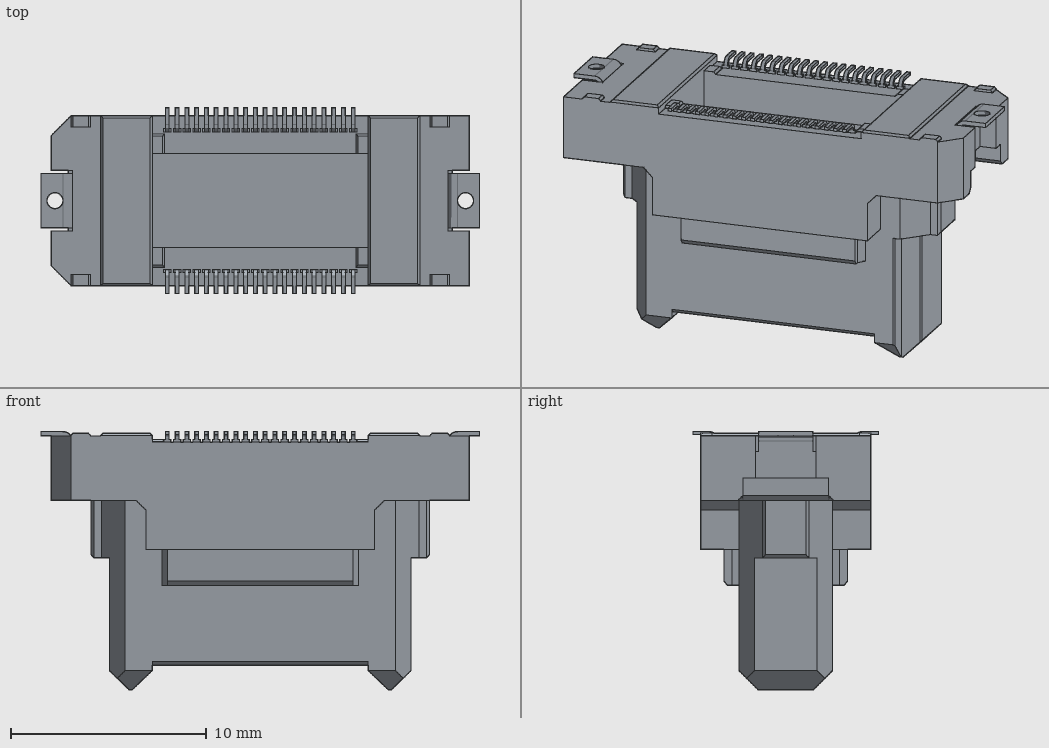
import cadquery as cq
import math


housing_half_x = 10.68
housing_half_y = 4.35
housing_top = -0.22
housing_bottom = -3.52
waist_half_x = 5.85
waist_bottom = -6.03
waist_chamfer = 0.5
polarity_chamfer = 1.03

shelf_half_x = 5.5
shelf_z = -0.54
pad_height = 0.13
pad_chamfer = 0.11
pad_outer_x = 8.15
block_inner_x = 4.88
block_outer_y = 3.4

standoff_inner_x = 8.67
standoff_outer_x = 9.68
standoff_inner_y = 3.76

blade_half_y = 2.4
blade_half_x = 7.7
blade_corner_chamfer = 0.8
blade_middle_bottom = -11.95
blade_edge_chamfer = 0.2
blade_bottom = -13.2
tip_height = 0.99
tip_flat_outer_x = 6.7
tip_flat_inner_x = 6.55
cavity_floor = -5.1

notch_x = -6.6
notch_y = 1.4
notch_chamfer = 0.1

rib_half_x = 8.65
rib_half_y = 1.19
rib_bottom = -6.45
rib_chamfer = 0.15

rail_half_x = 5.02
rail_face_half_x = 4.73
rail_half_y = 3.15
rail_shoulder_half_y = 2.75
rail_bottom = -7.86
rail_edge_rise = 0.22
rail_edge_inset = 0.18

tab_tip_x = 11.2
tab_half_y = 1.4
tab_thickness = 0.22
tab_bend_x = 10.08
tab_bend_radius = 0.5
tab_leg_bottom = -1.03
tab_hole_x = 10.48
tab_hole_diameter = 0.8
slot_half_y = 1.55
undercut_x = 9.32
undercut_half_y = 2.2
undercut_top = -2.37
undercut_flare = 0.25

contacts_per_row = 20
contact_row_span = 9.5
contact_width = 0.2
contact_thickness = 0.15
contact_tip_y = 4.75
contact_inner_y = 3.52
contact_bend_radius = 0.38
contact_base_width = 0.38
contact_base_top = -0.4

contact_pitch = contact_row_span / (contacts_per_row - 1)
tab_back_x = tab_bend_x - tab_bend_radius
slot_back_x = tab_back_x + tab_thickness

diagonal = math.sqrt(0.5)


def box(x0, x1, y0, y1, z0, z1):
    """Box between two opposite corners."""
    return cq.Workplane("XY").box(x1 - x0, y1 - y0, z1 - z0, centered=False).translate((x0, y0, z0))


def on_both_ends(solid):
    """The solid together with its mirror image across the X = 0 plane."""
    return solid.union(solid.mirror("YZ"))


def on_both_sides(solid):
    """The solid together with its mirror image across the Y = 0 plane."""
    return solid.union(solid.mirror("XZ"))


def make_housing():
    """Wide flange with a narrower waist below, two corners cut off for polarity."""
    right_outline = [
        (shelf_half_x, shelf_z),
        (shelf_half_x, housing_top),
        (housing_half_x, housing_top),
        (housing_half_x, housing_bottom),
        (waist_half_x + waist_chamfer, housing_bottom),
        (waist_half_x, housing_bottom - waist_chamfer),
        (waist_half_x, waist_bottom),
    ]
    left_outline = [(-x, z) for x, z in reversed(right_outline)]
    housing = cq.Workplane("XZ").polyline(right_outline + left_outline).close()
    housing = housing.extrude(housing_half_y, both=True)
    return housing.edges("|Z and <X").chamfer(polarity_chamfer)


def make_raised_pads():
    """Two wide pads beside the shelf, four corner blocks on it and four small standoffs."""
    pad_top = housing_top + pad_height
    pad = box(shelf_half_x, pad_outer_x, -housing_half_y, housing_half_y, housing_top, pad_top)
    pad = pad.faces(">Z").edges().chamfer(pad_chamfer)

    block = box(block_inner_x, shelf_half_x, blade_half_y, block_outer_y, shelf_z, shelf_z + pad_height)
    block = block.edges(">Z and (<X or >Y)").chamfer(pad_chamfer)

    standoff = box(standoff_inner_x, standoff_outer_x, standoff_inner_y, housing_half_y, housing_top, pad_top)
    standoff = standoff.edges(">Z and (<X or >X)").chamfer(pad_chamfer)
    return on_both_ends(pad.union(on_both_sides(block.union(standoff))))


def make_blade_end():
    """End of the blade at +X: chamfered corners, running down into a pointed tip."""
    plan = [
        (shelf_half_x, blade_half_y),
        (blade_half_x - blade_corner_chamfer, blade_half_y),
        (blade_half_x, blade_half_y - blade_corner_chamfer),
        (blade_half_x, -blade_half_y + blade_corner_chamfer),
        (blade_half_x - blade_corner_chamfer, -blade_half_y),
        (shelf_half_x, -blade_half_y),
    ]
    tip_top = blade_bottom + tip_height
    side_outline = [
        (shelf_half_x, housing_bottom),
        (blade_half_x, housing_bottom),
        (blade_half_x, tip_top),
        (tip_flat_outer_x, blade_bottom),
        (tip_flat_inner_x, blade_bottom),
        (shelf_half_x, tip_top),
    ]
    end_outline = [
        (blade_half_y, housing_bottom),
        (blade_half_y, tip_top),
        (blade_half_y - tip_height, blade_bottom),
        (-blade_half_y + tip_height, blade_bottom),
        (-blade_half_y, tip_top),
        (-blade_half_y, housing_bottom),
    ]
    column = cq.Workplane("XY").workplane(offset=blade_bottom).polyline(plan).close()
    column = column.extrude(housing_bottom - blade_bottom)
    side_wedge = cq.Workplane("XZ").polyline(side_outline).close().extrude(blade_half_y, both=True)
    end_wedge = cq.Workplane("YZ").polyline(end_outline).close().extrude(blade_half_x)
    return column.intersect(side_wedge).intersect(end_wedge)


def make_rib():
    """Rib at +X whose flanks run back into the blade corner chamfers."""
    rib_root_x = blade_half_x - blade_corner_chamfer
    rib = box(rib_root_x, rib_half_x, -rib_half_y, rib_half_y, rib_bottom, housing_bottom)
    rib = rib.edges(">X and (|Z or <Z)").chamfer(rib_chamfer)
    shoulder_x = rib_root_x + blade_half_y - rib_half_y
    shoulder = (
        cq.Workplane("XY")
        .workplane(offset=rib_bottom)
        .polyline([
            (rib_root_x, blade_half_y),
            (shoulder_x, rib_half_y),
            (shoulder_x, -rib_half_y),
            (rib_root_x, -blade_half_y),
        ])
        .close()
        .extrude(housing_bottom - rib_bottom)
    )
    return rib.union(shoulder)


def make_blade():
    """Blade with its pointed ends, end ribs and one key notch."""
    middle_z = (blade_middle_bottom, housing_bottom)
    middle = box(-shelf_half_x, shelf_half_x, -blade_half_y, blade_half_y, *middle_z)
    middle = middle.edges("|X and <Z").chamfer(blade_edge_chamfer)
    blade = middle.union(on_both_ends(make_blade_end()))
    notch = (
        cq.Workplane("XY")
        .workplane(offset=blade_bottom)
        .polyline([
            (-blade_half_x, notch_y - notch_chamfer),
            (-blade_half_x + notch_chamfer, notch_y),
            (notch_x, notch_y),
            (notch_x, blade_half_y - notch_chamfer),
            (notch_x + notch_chamfer, blade_half_y),
            (-blade_half_x, blade_half_y),
        ])
        .close()
        .extrude(rib_bottom - blade_bottom)
    )
    return blade.cut(notch).union(on_both_ends(make_rib()))


def make_rails():
    """Rail across both sides of the blade, below the waist, with a sloped foot at each end."""
    plan = [
        (-rail_half_x, 0),
        (rail_half_x, 0),
        (rail_half_x, blade_half_y),
        (rail_face_half_x, rail_shoulder_half_y),
        (rail_face_half_x, rail_half_y),
        (-rail_face_half_x, rail_half_y),
        (-rail_face_half_x, rail_shoulder_half_y),
        (-rail_half_x, blade_half_y),
    ]
    rail = cq.Workplane("XY").workplane(offset=rail_bottom).polyline(plan).close()
    rail = rail.extrude(waist_bottom - rail_bottom)
    edge_cut = (
        cq.Workplane("YZ")
        .polyline([
            (rail_half_y - rail_edge_inset, rail_bottom),
            (rail_half_y, rail_bottom),
            (rail_half_y, rail_bottom + rail_edge_rise),
        ])
        .close()
        .extrude(rail_half_x, both=True)
    )
    return on_both_sides(rail.cut(edge_cut))


def make_end_slot():
    """Cut in the +X end: tab slot on top, wider flared undercut below."""
    slot = box(slot_back_x, tab_tip_x, -slot_half_y, slot_half_y, undercut_top, housing_top)
    seat = box(tab_back_x, slot_back_x, -slot_half_y, slot_half_y, tab_leg_bottom, housing_top)
    flare_top = housing_bottom + undercut_flare
    undercut = box(undercut_x, tab_tip_x, -undercut_half_y, undercut_half_y, flare_top, undercut_top)
    flare = (
        cq.Workplane("XY")
        .workplane(offset=flare_top)
        .center((undercut_x + tab_tip_x) / 2, 0)
        .rect(tab_tip_x - undercut_x, 2 * undercut_half_y)
        .extrude(-undercut_flare, taper=-45)
    )
    return slot.union(seat).union(undercut).union(flare)


def make_tab():
    """Bent hold-down tab at +X with a round hole."""
    inner_radius = tab_bend_radius - tab_thickness
    tab = (
        cq.Workplane("XZ")
        .moveTo(tab_tip_x, 0)
        .lineTo(tab_bend_x, 0)
        .threePointArc(
            (tab_bend_x - tab_bend_radius * diagonal, -tab_bend_radius * (1 - diagonal)),
            (tab_back_x, -tab_bend_radius),
        )
        .lineTo(tab_back_x, tab_leg_bottom)
        .lineTo(slot_back_x, tab_leg_bottom)
        .lineTo(slot_back_x, -tab_bend_radius)
        .threePointArc(
            (tab_bend_x - inner_radius * diagonal, -tab_bend_radius + inner_radius * diagonal),
            (tab_bend_x, -tab_thickness),
        )
        .lineTo(tab_tip_x, -tab_thickness)
        .close()
        .extrude(tab_half_y, both=True)
    )
    hole = cq.Workplane("XY").center(tab_hole_x, 0).circle(tab_hole_diameter / 2).extrude(-tab_thickness)
    return tab.cut(hole)


def make_contact():
    """One contact at X = 0 on the +Y side: flat foot, bend and wide base on the shelf."""
    bend_y = contact_inner_y + contact_bend_radius
    outer_y = contact_inner_y + contact_thickness
    inner_radius = contact_bend_radius - contact_thickness
    lead = (
        cq.Workplane("YZ")
        .moveTo(contact_tip_y, 0)
        .lineTo(bend_y, 0)
        .threePointArc(
            (bend_y - contact_bend_radius * diagonal, -contact_bend_radius * (1 - diagonal)),
            (contact_inner_y, -contact_bend_radius),
        )
        .lineTo(contact_inner_y, shelf_z)
        .lineTo(outer_y, shelf_z)
        .lineTo(outer_y, -contact_bend_radius)
        .threePointArc(
            (bend_y - inner_radius * diagonal, -contact_bend_radius + inner_radius * diagonal),
            (bend_y, -contact_thickness),
        )
        .lineTo(contact_tip_y, -contact_thickness)
        .close()
        .extrude(contact_width / 2, both=True)
    )
    half_base = contact_base_width / 2
    base = box(-half_base, half_base, contact_inner_y, outer_y, shelf_z, contact_base_top)
    return lead.union(base)


def make_contact_rows():
    """Every contact of both rows, as a list of separate solids."""
    contact = make_contact()
    first_x = -contact_row_span / 2
    contacts = []
    for index in range(contacts_per_row):
        placed = contact.translate((first_x + index * contact_pitch, 0, 0))
        contacts += [placed.val(), placed.mirror("XZ").val()]
    return contacts


cavity = box(-shelf_half_x, shelf_half_x, -blade_half_y, blade_half_y, cavity_floor, shelf_z)

body = make_housing().cut(on_both_ends(make_end_slot()))
body = body.union(make_blade()).union(make_rails()).union(make_raised_pads())
body = body.cut(cavity).union(on_both_ends(make_tab()))

result = cq.Workplane(body.val().fuse(*make_contact_rows()))